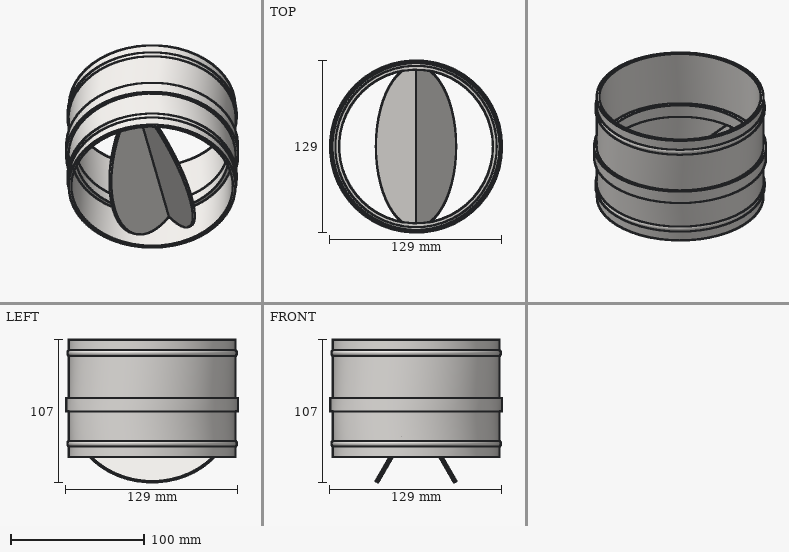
import cadquery as cq

band_radius = 64.5
band_height = 10.0
sleeve_radius = 62.6
sleeve_height = 88.0
wall = 2.0
bore_radius = sleeve_radius - wall
band_bottom = 34.3

stop_radius = 57.5

bead_inset = 10.0
bead_height = 4.4
bead_rise = 1.0

flap_radius = 60.4
flap_thickness = 1.9
flap_angle = 60.0
fold_z = band_bottom


def ring(outer, inner, bottom, height):
    """Plain ring about the Z axis."""
    return cq.Workplane("XY").workplane(offset=bottom).circle(outer).circle(inner).extrude(height)


def bead(center_z):
    """Rounded bead, rooted halfway into the sleeve wall."""
    root = sleeve_radius - wall / 2
    low = center_z - bead_height / 2
    high = center_z + bead_height / 2
    return (
        cq.Workplane("XZ")
        .moveTo(root, low)
        .lineTo(sleeve_radius, low)
        .threePointArc((sleeve_radius + bead_rise, center_z), (sleeve_radius, high))
        .lineTo(root, high)
        .close()
        .revolve(360, (0, 0), (0, 1))
    )


def make_sleeve():
    """Tube with outer band, inner stop ring and two beads, as one solid."""
    body = ring(sleeve_radius, bore_radius, 0, sleeve_height)
    body = body.union(ring(band_radius, stop_radius, band_bottom, band_height))
    for center_z in (bead_inset, sleeve_height - bead_inset):
        body = body.union(bead(center_z))
    return body


def make_damper():
    """Two sloping half discs, mitred together at the fold."""
    mitre_side = cq.Workplane("XY").box(
        2 * flap_radius, 2 * flap_radius, 4 * flap_radius, centered=(False, True, True)
    )
    half = (
        cq.Workplane("XY")
        .circle(flap_radius)
        .extrude(-flap_thickness)
        .rotate((0, 0, 0), (0, 1, 0), flap_angle)
        .intersect(mitre_side)
    )
    return half.union(half.mirror("YZ")).translate((0, 0, fold_z))


sleeve = make_sleeve()
damper = make_damper()

result = cq.Compound.makeCompound([sleeve.val(), damper.val()])